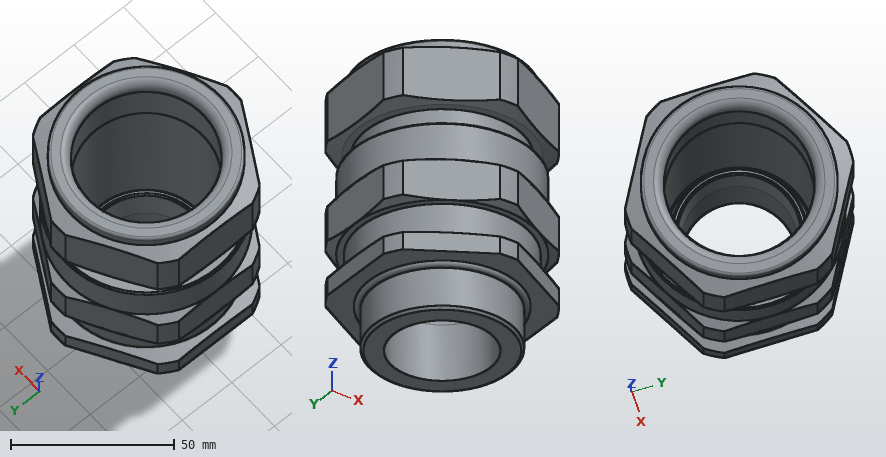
import cadquery as cq
import math


ACROSS_FLATS = 65.0
FLAT_RADIUS = ACROSS_FLATS / 2
CORNER_RADIUS = 35.75
HEX_SIDES = 6
HEX_POINT_DIAMETER = ACROSS_FLATS / math.cos(math.pi / HEX_SIDES)

STEP_TOP = 15.9
ENTRY_TOP = 23.0
MIDDLE_HEX_BOTTOM = 34.3
MIDDLE_HEX_TOP = 48.8
BAND_TOP = 62.1
TOP_HEX_BOTTOM = 69.45
SEAL_BOTTOM = 75.6
SEAL_TOP = 89.4
TOP_HEX_TOP = 89.6
TOTAL_HEIGHT = 93.35

THREAD_RADIUS = 25.1
THREAD_CHAMFER = 0.9
STEP_RADIUS = 27.1
STEP_ROUND = 1.4
ENTRY_HEX_CONE_RADIUS = 30.5
ENTRY_CORNER_DROP = 0.9
ENTRY_BORE_RADIUS = 17.8
ENTRY_TAPER_RADIUS = 18.95
ENTRY_TAPER_HEIGHT = 9.3
ENTRY_LEAD_IN = 0.6

CONE_FOOT_RADIUS = 22.6
CONE_TOP_RADIUS = 20.9
CONE_HEIGHT = 6.1
CONE_TOP_CHAMFER = 0.4

COLLAR_RADIUS = 30.15

BAND_CHAMFER = 0.6
MIDDLE_CORNER_DROP = 1.2

SLEEVE_RADIUS = 28.0
BORE_RADIUS = 23.1

COLLAR_ROUND = 0.9
TOP_CORNER_DROP = 1.6
TOP_CONE_BOTTOM_RADIUS = 30.8
LIP_ROUND = 3.2

CONE_FOOT = ENTRY_TOP + BORE_RADIUS - CONE_FOOT_RADIUS
CONE_SHOULDER = CONE_FOOT + CONE_HEIGHT
CONE_TOP = CONE_SHOULDER + CONE_TOP_CHAMFER


def revolve(outline):
    """Turn a closed (radius, height) outline around the Z axis."""
    return outline.close().revolve(360, (0, 0, 0), (0, 1, 0))


def turned(points):
    """Revolve a straight-sided (radius, height) outline around the Z axis."""
    return revolve(cq.Workplane("XZ").polyline(points))


def disc(radius, bottom, top):
    return cq.Workplane("XY").workplane(offset=bottom).circle(radius).extrude(top - bottom)


def hexagon(bottom, top, top_cone, bottom_cone=None):
    """Hexagon with turned corners and a cone at the top or at both ends.

    A cone is (radius on the end face, height over which it widens to the corner radius).
    """
    prism = (
        cq.Workplane("XY")
        .workplane(offset=bottom)
        .polygon(HEX_SIDES, HEX_POINT_DIAMETER)
        .extrude(top - bottom)
        .rotate((0, 0, 0), (0, 0, 1), 180 / HEX_SIDES)
    )
    top_radius, top_drop = top_cone
    envelope = [(0, bottom)]
    if bottom_cone:
        bottom_radius, bottom_rise = bottom_cone
        envelope += [(bottom_radius, bottom), (CORNER_RADIUS, bottom + bottom_rise)]
    else:
        envelope += [(CORNER_RADIUS, bottom)]
    envelope += [(CORNER_RADIUS, top - top_drop), (top_radius, top), (0, top)]
    return prism.intersect(turned(envelope))


def make_entry():
    """Threaded spigot, rounded step, thin hexagon and armour cone, bored through."""
    thread = disc(THREAD_RADIUS, 0, STEP_TOP).faces("<Z").chamfer(THREAD_CHAMFER)
    step = disc(STEP_RADIUS, STEP_TOP - STEP_ROUND, ENTRY_TOP).faces("<Z").edges().fillet(STEP_ROUND)
    collar = hexagon(STEP_TOP, ENTRY_TOP, (ENTRY_HEX_CONE_RADIUS, ENTRY_CORNER_DROP))
    cone = turned([
        (0, ENTRY_TOP),
        (BORE_RADIUS, ENTRY_TOP),
        (CONE_FOOT_RADIUS, CONE_FOOT),
        (CONE_TOP_RADIUS, CONE_SHOULDER),
        (CONE_TOP_RADIUS - CONE_TOP_CHAMFER, CONE_TOP),
        (0, CONE_TOP),
    ])
    lead_in_bottom = CONE_TOP - ENTRY_LEAD_IN
    bore = turned([
        (0, 0),
        (ENTRY_BORE_RADIUS, 0),
        (ENTRY_BORE_RADIUS, lead_in_bottom - ENTRY_TAPER_HEIGHT),
        (ENTRY_TAPER_RADIUS, lead_in_bottom),
        (ENTRY_TAPER_RADIUS + ENTRY_LEAD_IN, CONE_TOP),
        (0, CONE_TOP),
    ])
    return thread.union(step).union(collar).union(cone).cut(bore)


def make_middle_nut():
    """Hexagon between a plain skirt below and a round band above."""
    skirt = disc(COLLAR_RADIUS, ENTRY_TOP, MIDDLE_HEX_BOTTOM)
    cone = (FLAT_RADIUS, MIDDLE_CORNER_DROP)
    collar = hexagon(MIDDLE_HEX_BOTTOM, MIDDLE_HEX_TOP, cone, cone)
    band = disc(FLAT_RADIUS, MIDDLE_HEX_TOP, BAND_TOP).faces(">Z").chamfer(BAND_CHAMFER)
    bore = disc(SLEEVE_RADIUS, ENTRY_TOP, BAND_TOP)
    return skirt.union(collar).union(band).cut(bore)


def ring(bottom, top):
    """Plain tube between the bore of a nut and the cable passage."""
    return disc(SLEEVE_RADIUS, bottom, top).cut(disc(BORE_RADIUS, bottom, top))


def make_sleeve():
    """Tube standing on the entry and reaching up into the top nut."""
    return ring(ENTRY_TOP, SEAL_BOTTOM)


def make_seal():
    """Ring between the sleeve and the lip of the top nut."""
    return ring(SEAL_BOTTOM, SEAL_TOP)


def make_top_nut():
    """Hexagon with a round collar above and a rounded lip over the seal."""
    collar = hexagon(
        TOP_HEX_BOTTOM,
        TOP_HEX_TOP,
        (COLLAR_RADIUS, TOP_CORNER_DROP),
        (TOP_CONE_BOTTOM_RADIUS, TOP_CORNER_DROP),
    )
    rim = disc(COLLAR_RADIUS, TOP_HEX_TOP, TOTAL_HEIGHT).faces(">Z").edges().fillet(COLLAR_ROUND)
    bore = disc(SLEEVE_RADIUS, TOP_HEX_BOTTOM, SEAL_TOP)
    mouth_bottom = TOTAL_HEIGHT - LIP_ROUND
    mouth_radius = BORE_RADIUS + LIP_ROUND
    middle = LIP_ROUND * math.sqrt(0.5)
    opening = revolve(
        cq.Workplane("XZ")
        .moveTo(0, SEAL_TOP)
        .lineTo(BORE_RADIUS, SEAL_TOP)
        .lineTo(BORE_RADIUS, mouth_bottom)
        .threePointArc((mouth_radius - middle, mouth_bottom + middle), (mouth_radius, TOTAL_HEIGHT))
        .lineTo(0, TOTAL_HEIGHT)
    )
    return collar.union(rim).cut(bore).cut(opening)


entry = make_entry()
middle_nut = make_middle_nut()
sleeve = make_sleeve()
seal = make_seal()
top_nut = make_top_nut()

result = cq.Compound.makeCompound([
    entry.val(),
    middle_nut.val(),
    sleeve.val(),
    seal.val(),
    top_nut.val(),
])